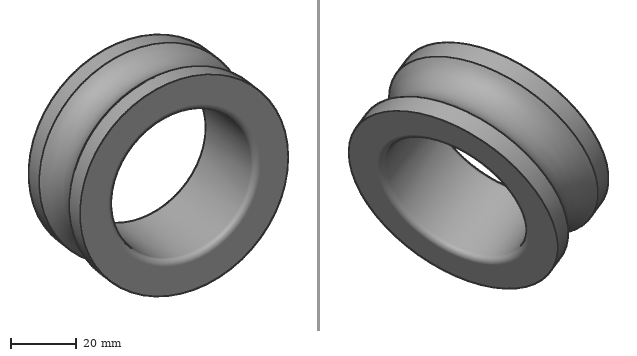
import cadquery as cq

outer_diameter = 74.0
width = 31.0
bore_diameter = 50.0
bore_edge_radius = 2.0

groove_width = 18.05
groove_depth = 4.0

outer_radius = outer_diameter / 2


def make_ring():
    """Plain ring along X, with both bore edges rounded."""
    ring = (
        cq.Workplane("YZ")
        .circle(outer_radius)
        .circle(bore_diameter / 2)
        .extrude(width / 2, both=True)
    )
    bore_edges = cq.selectors.RadiusNthSelector(0)
    return ring.edges("%CIRCLE").edges(bore_edges).fillet(bore_edge_radius)


def make_groove():
    """Circular-arc segment revolved about X, centred on the ring width."""
    half_width = groove_width / 2
    return (
        cq.Workplane("XY")
        .moveTo(-half_width, outer_radius)
        .threePointArc((0, outer_radius - groove_depth), (half_width, outer_radius))
        .close()
        .revolve(360, (0, 0, 0), (1, 0, 0))
    )


result = make_ring().cut(make_groove())